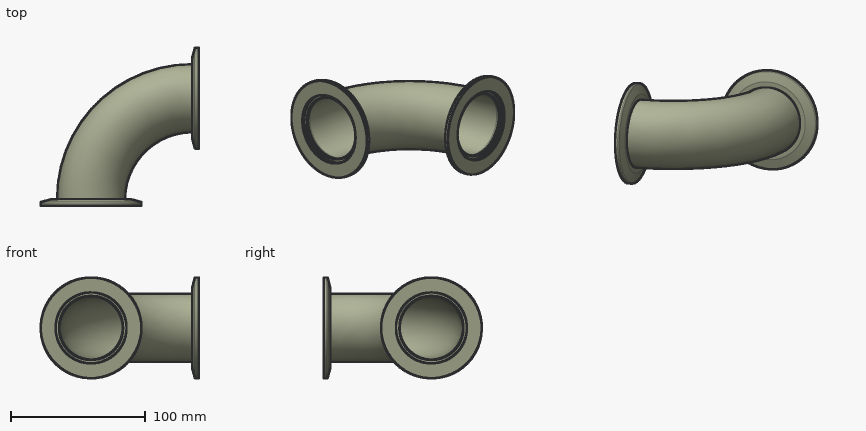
import cadquery as cq
import math

face_to_center = 80.0

flange_diameter = 75.0
flange_thickness = 5.2
hub_diameter = 59.0
cone_angle = 15.0
rim_fillet = 1.0
face_chamfer = 0.3
recess_diameter = 52.4
recess_depth = 2.3
recess_chamfer = 0.25
flange_bore = 47.8

tube_diameter = 50.8
tube_bore = 46.8
tube_end_depth = 3.3

bend_radius = face_to_center - flange_thickness
tube_end_to_center = face_to_center - tube_end_depth


def make_flange():
    """Clamp flange on the Z axis: sealing face at Z = 0, back face at Z = flange_thickness."""
    rim_radius = flange_diameter / 2
    hub_radius = hub_diameter / 2
    recess_radius = recess_diameter / 2
    socket_radius = tube_diameter / 2
    bore_radius = flange_bore / 2
    slope = math.radians(cone_angle)
    cone_height = (rim_radius - hub_radius) * math.tan(slope)
    cone_foot = flange_thickness - cone_height

    half_arc = (math.pi / 2 - slope) / 2
    tangent_length = rim_fillet * math.tan(half_arc)
    fillet_center = (rim_radius - rim_fillet, cone_foot - tangent_length)
    fillet_middle = (
        fillet_center[0] + rim_fillet * math.cos(half_arc),
        fillet_center[1] + rim_fillet * math.sin(half_arc),
    )
    fillet_end = (
        rim_radius - tangent_length * math.cos(slope),
        cone_foot + tangent_length * math.sin(slope),
    )

    return (
        cq.Workplane("XZ")
        .moveTo(bore_radius, recess_depth)
        .lineTo(recess_radius, recess_depth)
        .lineTo(recess_radius, recess_chamfer)
        .lineTo(recess_radius + recess_chamfer, 0)
        .lineTo(rim_radius - face_chamfer, 0)
        .lineTo(rim_radius, face_chamfer)
        .lineTo(rim_radius, fillet_center[1])
        .threePointArc(fillet_middle, fillet_end)
        .lineTo(hub_radius, flange_thickness)
        .lineTo(socket_radius, flange_thickness)
        .lineTo(socket_radius, tube_end_depth)
        .lineTo(bore_radius, tube_end_depth)
        .close()
        .revolve(360, (0, 0, 0), (0, 1, 0))
    )


def make_tube():
    """Bent tube from the -Y port round to the +X port, with a straight end at each."""
    path = (
        cq.Workplane("XY")
        .moveTo(0, -tube_end_to_center)
        .lineTo(0, -bend_radius)
        .radiusArc((bend_radius, 0), bend_radius)
        .lineTo(tube_end_to_center, 0)
    )
    return (
        cq.Workplane("XZ", origin=(0, -tube_end_to_center, 0))
        .circle(tube_diameter / 2)
        .circle(tube_bore / 2)
        .sweep(path)
    )


tube = make_tube()
front_flange = make_flange().rotate((0, 0, 0), (1, 0, 0), -90).translate((0, -face_to_center, 0))
side_flange = make_flange().rotate((0, 0, 0), (0, 1, 0), -90).translate((face_to_center, 0, 0))

result = cq.Compound.makeCompound([tube.val(), front_flange.val(), side_flange.val()])